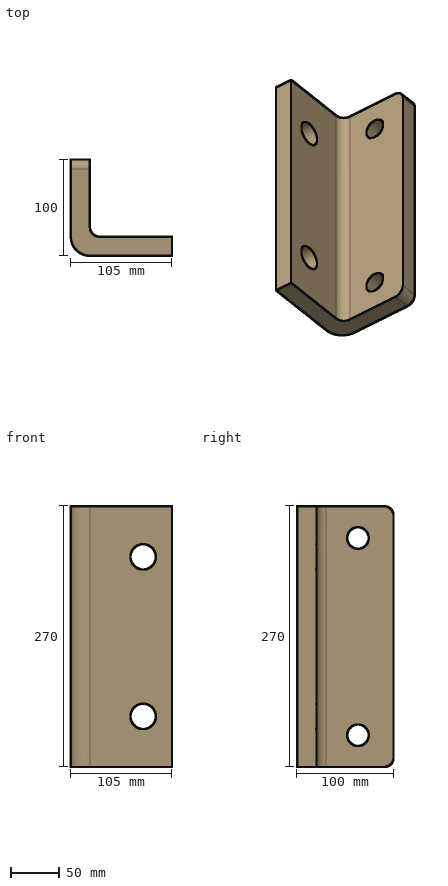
import cadquery as cq

base_width = 105.0
flange_width = 100.0
height = 270.0
thickness = 20.0

bend_outer_radius = 20.0
bend_inner_radius = 10.0
flange_corner_radius = 10.0

base_hole_diameter = 26.0
base_hole_x = 75.0
base_hole_spacing = 165.0

flange_hole_diameter = 22.0
flange_hole_y = 63.0
flange_hole_spacing = 204.0


def make_angle():
    """L-shaped section with a rounded bend, extruded along Z."""
    section = (
        cq.Workplane("XY")
        .polyline([
            (0, 0),
            (base_width, 0),
            (base_width, thickness),
            (thickness, thickness),
            (thickness, flange_width),
            (0, flange_width),
        ])
        .close()
    )
    angle = section.extrude(height)
    inner_edge = cq.selectors.NearestToPointSelector((thickness, thickness, height / 2))
    angle = angle.edges(inner_edge).fillet(bend_inner_radius)
    outer_edge = cq.selectors.NearestToPointSelector((0, 0, height / 2))
    return angle.edges(outer_edge).fillet(bend_outer_radius)


def round_flange_corners(body):
    """Round the two free corners of the leg along Y."""
    return body.faces(">Y").edges("|X").fillet(flange_corner_radius)


def hole_heights(spacing):
    """Z positions of a hole pair centred on the height."""
    return [(height - spacing) / 2, (height + spacing) / 2]


def base_holes():
    """Holes through the leg along X, drilled in the Y direction."""
    points = [(base_hole_x, z) for z in hole_heights(base_hole_spacing)]
    return (
        cq.Workplane("XZ")
        .pushPoints(points)
        .circle(base_hole_diameter / 2)
        .extrude(-thickness)
    )


def flange_holes():
    """Holes through the leg along Y, drilled in the X direction."""
    points = [(flange_hole_y, z) for z in hole_heights(flange_hole_spacing)]
    return (
        cq.Workplane("YZ")
        .pushPoints(points)
        .circle(flange_hole_diameter / 2)
        .extrude(thickness)
    )


result = round_flange_corners(make_angle()).cut(base_holes()).cut(flange_holes())